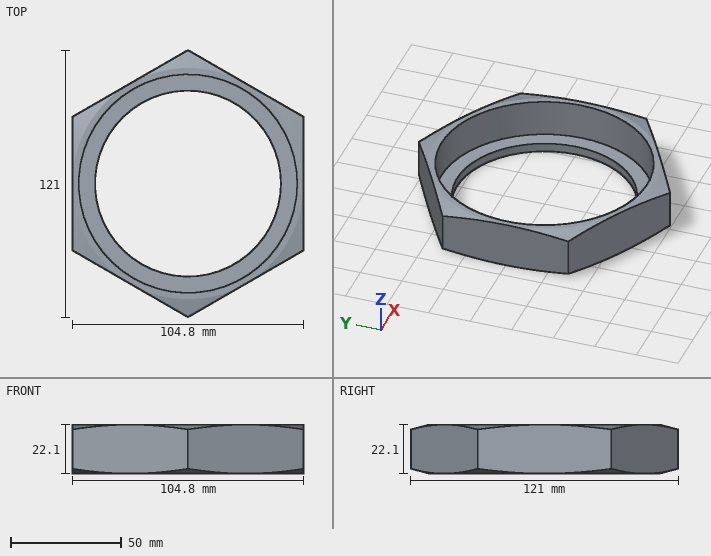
import cadquery as cq
import math

corner_diameter = 121.0
height = 22.1
bore_diameter = 99.0
opening_diameter = 84.1
lip_thickness = 4.4
chamfer_angle = 15.0

corner_radius = corner_diameter / 2
flat_radius = corner_radius * math.cos(math.radians(30))
chamfer_drop = (corner_radius - flat_radius) * math.tan(math.radians(chamfer_angle))


def hexagonal_body():
    """Hexagonal prism centred on Z, standing on the XY plane."""
    return (
        cq.Workplane("XY")
        .polygon(6, corner_diameter)
        .extrude(height)
        .rotate((0, 0, 0), (0, 0, 1), 90)
    )


def chamfer_envelope():
    """Double-coned disc that bevels the hexagon corners at both ends."""
    return (
        cq.Workplane("XZ")
        .moveTo(0, 0)
        .lineTo(flat_radius, 0)
        .lineTo(corner_radius, chamfer_drop)
        .lineTo(corner_radius, height - chamfer_drop)
        .lineTo(flat_radius, height)
        .lineTo(0, height)
        .close()
        .revolve(360, (0, 0, 0), (0, 1, 0))
    )


def stepped_bore():
    """Through opening, widened above the bottom lip."""
    opening = cq.Workplane("XY").circle(opening_diameter / 2).extrude(height)
    wide_bore = (
        cq.Workplane("XY")
        .workplane(offset=lip_thickness)
        .circle(bore_diameter / 2)
        .extrude(height - lip_thickness)
    )
    return opening.union(wide_bore)


result = hexagonal_body().intersect(chamfer_envelope()).cut(stepped_bore())